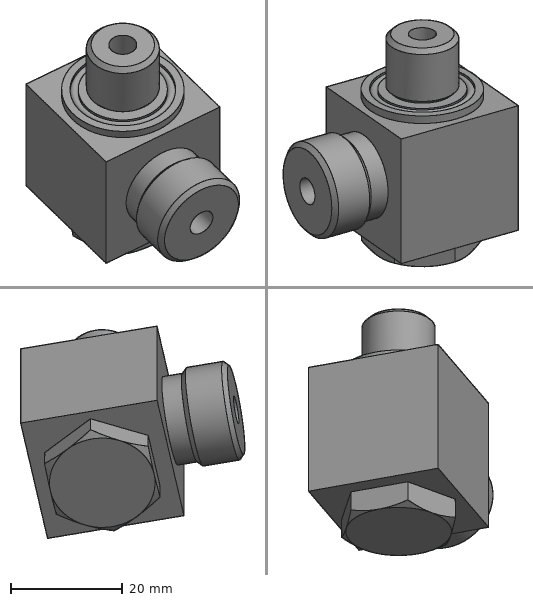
import cadquery as cq
import math

cube_side = 25.0
total_height = 42.0
head_height = 4.5
head_across_flats = 19.0
head_chamfer_angle = 30.0

flange_diameter = 22.0
flange_height = 1.5
seal_outer_diameter = 19.0
seal_inner_diameter = 16.0

stud_diameter = 13.15
stud_tip_chamfer = 0.9
stud_root_chamfer = 0.7

port_diameter = 18.0
port_neck_diameter = 16.15
port_neck_length = 3.55
port_length = 12.0
port_tip_chamfer = 0.9

bore_diameter = 5.0

cube_top = head_height + cube_side
flange_top = cube_top + flange_height
port_axis_height = head_height + cube_side / 2
port_end = cube_side / 2 + port_length


def make_cube():
    return cq.Workplane("XY", origin=(0, 0, head_height)).box(
        cube_side, cube_side, cube_side, centered=(True, True, False)
    )


def make_hex_head():
    """Hexagon with flats facing X and a conical chamfer on its lower corners."""
    across_corners = head_across_flats / math.cos(math.radians(30))
    hexagon = (
        cq.Workplane("XY")
        .polygon(6, across_corners)
        .extrude(head_height)
        .rotate((0, 0, 0), (0, 0, 1), 90)
    )
    face_radius = head_across_flats / 2
    cone_slope = math.tan(math.radians(head_chamfer_angle))
    cone_top_radius = face_radius + head_height / cone_slope
    cone = (
        cq.Workplane("XZ")
        .polyline([(0, 0), (face_radius, 0), (cone_top_radius, head_height), (0, head_height)])
        .close()
        .revolve(360, (0, 0, 0), (0, 1, 0))
    )
    return hexagon.intersect(cone)


def make_flange():
    """Round flange with a grooved top face, filled by a seal ring whose crest is flush with it."""
    seal_radius = (seal_outer_diameter + seal_inner_diameter) / 4
    seal_section_radius = (seal_outer_diameter - seal_inner_diameter) / 4
    groove_floor = flange_top - seal_section_radius
    flange = cq.Workplane("XY", origin=(0, 0, cube_top)).circle(flange_diameter / 2).extrude(flange_height)
    groove = (
        cq.Workplane("XY", origin=(0, 0, groove_floor))
        .circle(seal_outer_diameter / 2)
        .circle(seal_inner_diameter / 2)
        .extrude(seal_section_radius)
    )
    seal = (
        cq.Workplane("XZ")
        .moveTo(seal_inner_diameter / 2, groove_floor)
        .threePointArc((seal_radius, flange_top), (seal_outer_diameter / 2, groove_floor))
        .close()
        .revolve(360, (0, 0, 0), (0, 1, 0))
    )
    return flange.cut(groove).union(seal)


def make_stud():
    return (
        cq.Workplane("XY", origin=(0, 0, flange_top))
        .circle(stud_diameter / 2)
        .extrude(total_height - flange_top)
        .faces(">Z")
        .chamfer(stud_tip_chamfer)
        .faces("<Z")
        .chamfer(stud_root_chamfer)
    )


def make_port():
    """Plain neck followed by a collar whose inner chamfer runs down to the neck."""
    neck_chamfer = (port_diameter - port_neck_diameter) / 2
    neck = (
        cq.Workplane("YZ", origin=(cube_side / 2, 0, port_axis_height))
        .circle(port_neck_diameter / 2)
        .extrude(port_neck_length)
    )
    collar = (
        neck.faces(">X")
        .workplane()
        .circle(port_diameter / 2)
        .extrude(port_length - port_neck_length, combine=False)
        .faces(">X")
        .chamfer(port_tip_chamfer)
        .faces("<X")
        .chamfer(neck_chamfer)
    )
    return neck.union(collar)


def make_bore():
    """Elbow passage from the stud tip to the port end, with a spherical corner."""
    bore_radius = bore_diameter / 2
    corner = (0, 0, port_axis_height)
    upright = cq.Workplane("XY", origin=corner).circle(bore_radius).extrude(total_height - port_axis_height)
    sideways = cq.Workplane("YZ", origin=corner).circle(bore_radius).extrude(port_end)
    ball = cq.Workplane("XY", origin=corner).sphere(bore_radius)
    return upright.union(sideways).union(ball)


result = (
    make_cube()
    .union(make_hex_head())
    .union(make_flange())
    .union(make_stud())
    .union(make_port())
    .cut(make_bore())
)